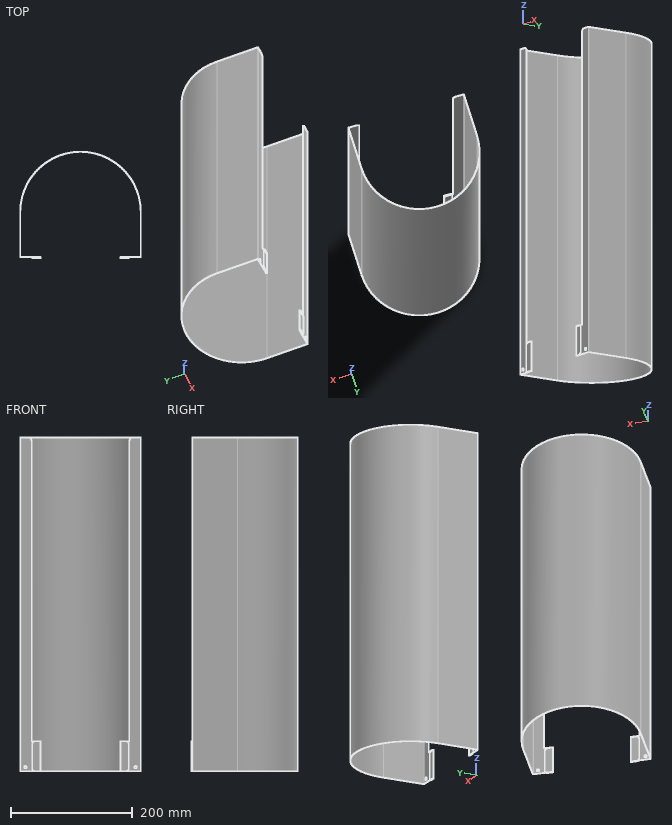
import cadquery as cq
import math

HEIGHT = 550.0
OUTER_WIDTH = 199.0
OUTER_DEPTH = 175.5
SHEET = 0.5

FLANGE_WIDTH = 19.0
FLANGE_CORNER_RADIUS = 6.0
FLANGE_BEND_RADIUS = 1.0

HEM_GAP = 1.0
HEM_HEIGHT = 50.0
HEM_LENGTH = 14.0
HEM_CORNER_RADIUS = 5.0
HEM_BEND_RADIUS = 0.9
FOLD_FROM_SIDE = 34.0

HOLE_DIAMETER = 4.0
HOLE_FROM_SIDE = 8.75
HOLE_FROM_BOTTOM = 7.0

OUTER_RADIUS = OUTER_WIDTH / 2
INNER_RADIUS = OUTER_RADIUS - SHEET
SIDE_X = -OUTER_RADIUS
HEM_FRONT = OUTER_RADIUS - OUTER_DEPTH
HEM_BACK = HEM_FRONT + SHEET
FLANGE_FRONT = HEM_BACK + HEM_GAP
FLANGE_BACK = FLANGE_FRONT + SHEET
FLANGE_EDGE_X = SIDE_X + FLANGE_WIDTH
FOLD_X = SIDE_X + FOLD_FROM_SIDE
HEM_EDGE_X = FOLD_X - HEM_LENGTH


def half_round_back():
    """Half-cylinder sheet, open towards -Y."""
    return (
        cq.Workplane("XY")
        .moveTo(-OUTER_RADIUS, 0)
        .threePointArc((0, OUTER_RADIUS), (OUTER_RADIUS, 0))
        .lineTo(INNER_RADIUS, 0)
        .threePointArc((0, INNER_RADIUS), (-INNER_RADIUS, 0))
        .close()
        .extrude(HEIGHT)
    )


def point_on_bend(centre_x, centre_y, radius):
    """Middle of a quarter bend that faces -X and -Y."""
    offset = radius * math.sqrt(0.5)
    return (centre_x - offset, centre_y - offset)


def wall_and_flange():
    """Left side wall with its flange; the flange's top free corner is rounded."""
    bend_x = SIDE_X + FLANGE_BEND_RADIUS
    bend_y = FLANGE_FRONT + FLANGE_BEND_RADIUS
    outer_middle = point_on_bend(bend_x, bend_y, FLANGE_BEND_RADIUS)
    inner_middle = point_on_bend(bend_x, bend_y, FLANGE_BEND_RADIUS - SHEET)
    sheet = (
        cq.Workplane("XY")
        .moveTo(SIDE_X, 0)
        .lineTo(SIDE_X, bend_y)
        .threePointArc(outer_middle, (bend_x, FLANGE_FRONT))
        .lineTo(FLANGE_EDGE_X, FLANGE_FRONT)
        .lineTo(FLANGE_EDGE_X, FLANGE_BACK)
        .lineTo(bend_x, FLANGE_BACK)
        .threePointArc(inner_middle, (SIDE_X + SHEET, bend_y))
        .lineTo(SIDE_X + SHEET, 0)
        .close()
        .extrude(HEIGHT)
    )
    return sheet.faces(">X").edges(">Z").fillet(FLANGE_CORNER_RADIUS)


def tongue_and_fold():
    """Tongue running on from the flange, with the two bends that turn it back."""
    inner_bend_radius = HEM_BEND_RADIUS - SHEET
    bend_x = FOLD_X - HEM_BEND_RADIUS
    back_bend_y = FLANGE_BACK - HEM_BEND_RADIUS
    front_bend_y = HEM_FRONT + HEM_BEND_RADIUS
    return (
        cq.Workplane("XY")
        .moveTo(FLANGE_EDGE_X, FLANGE_BACK)
        .lineTo(bend_x, FLANGE_BACK)
        .radiusArc((FOLD_X, back_bend_y), HEM_BEND_RADIUS)
        .lineTo(FOLD_X, front_bend_y)
        .radiusArc((bend_x, HEM_FRONT), HEM_BEND_RADIUS)
        .lineTo(bend_x, HEM_BACK)
        .radiusArc((FOLD_X - SHEET, front_bend_y), -inner_bend_radius)
        .lineTo(FOLD_X - SHEET, back_bend_y)
        .radiusArc((bend_x, FLANGE_FRONT), -inner_bend_radius)
        .lineTo(FLANGE_EDGE_X, FLANGE_FRONT)
        .close()
        .extrude(HEM_HEIGHT)
    )


def hem_leaf():
    """Flat leaf of the hem in front of the flange, with rounded free corners."""
    leaf_width = HEM_LENGTH - HEM_BEND_RADIUS
    leaf = cq.Workplane("XY").box(leaf_width, SHEET, HEM_HEIGHT, centered=False)
    rounded = leaf.faces("<X").edges("|Y").fillet(HEM_CORNER_RADIUS)
    return rounded.translate((HEM_EDGE_X, HEM_FRONT, 0))


def fixing_hole():
    """Cutter for the hole through the left flange."""
    return (
        cq.Workplane("XZ", origin=(SIDE_X + HOLE_FROM_SIDE, FLANGE_BACK, HOLE_FROM_BOTTOM))
        .circle(HOLE_DIAMETER / 2)
        .extrude(SHEET)
    )


hem = tongue_and_fold().union(hem_leaf())
left_side = wall_and_flange().union(hem).cut(fixing_hole())
right_side = left_side.mirror("YZ")
result = half_round_back().union(left_side).union(right_side)